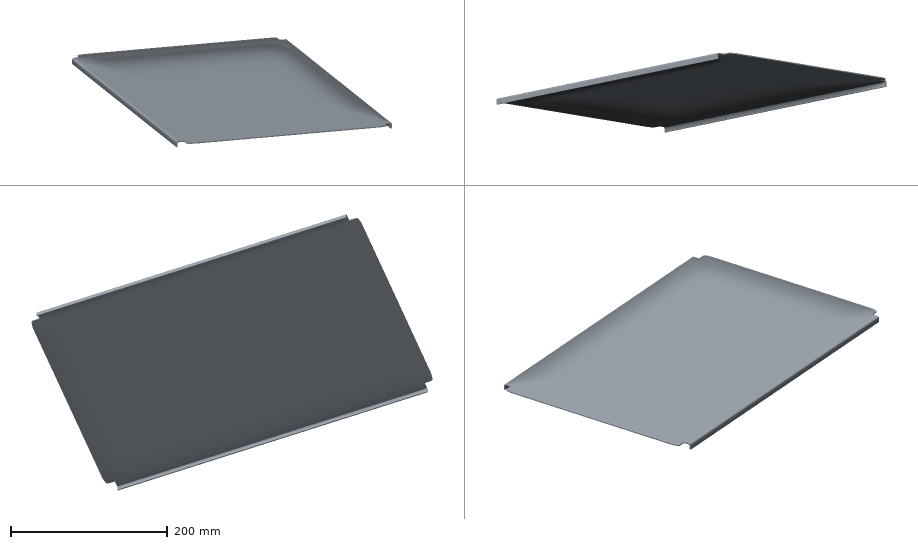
import cadquery as cq

length = 451.0
width = 290.5
height = 8.0

thickness = 1.5
inner_bend_radius = 1.0
outer_bend_radius = inner_bend_radius + thickness

flange_length = 425.0
notch_depth = 10.5

taper_inset = 2.0
taper_length = 10.0
corner_radius = 3.0


def make_panel():
    """Flat sheet between the notches, tapered at its ends, with its top face at Z = 0."""
    half_length = length / 2
    half_width = width / 2 - notch_depth
    taper_start = half_width - taper_length
    corner_x = half_length - taper_inset
    outline = [
        (half_length, -taper_start),
        (half_length, taper_start),
        (corner_x, half_width),
        (-corner_x, half_width),
        (-half_length, taper_start),
        (-half_length, -taper_start),
        (-corner_x, -half_width),
        (corner_x, -half_width),
    ]
    panel = cq.Workplane("XY").polyline(outline).close().extrude(-thickness)
    corner_edges = panel.faces("<Y or >Y").edges("|Z")
    return corner_edges.fillet(corner_radius)


def make_block(block_width, block_height, bend_radius):
    """Flange-length block standing on the flange tips, with rounded long top edges."""
    return (
        cq.Workplane("XY")
        .box(flange_length, block_width, block_height, centered=(True, True, False))
        .translate((0, 0, -height))
        .edges("|X and >Z")
        .fillet(bend_radius)
    )


def make_channel():
    """Shallow channel whose web joins the two long flanges through rounded bends."""
    outer = make_block(width, height, outer_bend_radius)
    inner = make_block(width - 2 * thickness, height - thickness, inner_bend_radius)
    return outer.cut(inner)


result = make_panel().union(make_channel())